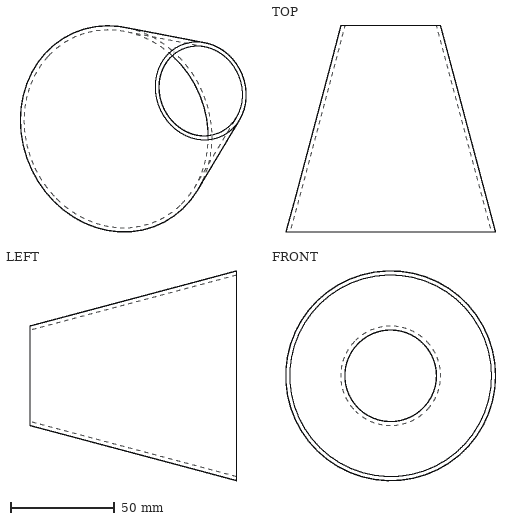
import cadquery as cq

wide_diameter = 101.6
narrow_diameter = 48.3
length = 100.0
wall = 2.0

wide_radius = wide_diameter / 2
narrow_radius = narrow_diameter / 2

wall_section = (
    cq.Workplane("XY")
    .moveTo(wide_radius - wall, 0)
    .lineTo(wide_radius, 0)
    .lineTo(narrow_radius, length)
    .lineTo(narrow_radius - wall, length)
    .close()
)

result = wall_section.revolve(360, (0, 0, 0), (0, 1, 0))